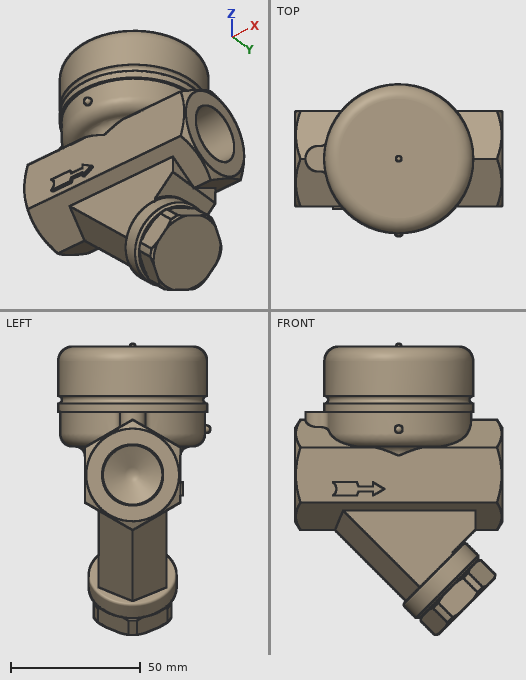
import cadquery as cq
import math

BODY_LENGTH = 80.0
BODY_FLATS = 36.8
BODY_CORNER_R = BODY_FLATS / math.sqrt(3)
END_FACE_R = 17.9
END_CHAMFER = 2.1

PORT_MOUTH_R = 11.8
PORT_DRILL_R = 11.5
PORT_TAPER_DEPTH = 12.9
PORT_DRILL_DEPTH = 20.2
DRILL_HALF_ANGLE = math.radians(60)
PORT_TIP_LENGTH = PORT_DRILL_R / math.tan(DRILL_HALF_ANGLE)

COVER_R = 57.5 / 2
COVER_EDGE_FILLET = 5.7
BOWL_R = 56.0 / 2
BOWL_FILLET = 5.0
BOWL_BOTTOM_Z = 10.9
RING_BOTTOM_Z = 24.3
GROOVE_BOTTOM_Z = 27.5
GROOVE_TOP_Z = 30.5
GROOVE_DEPTH = 1.5
COVER_TOP_Z = 49.5
NECK_R = BODY_FLATS / 2
NECK_FILLET = 3.5

TOP_STUD_R = 1.07
SIDE_STUD_R = 3.0 / 2
SIDE_STUD_Z = 17.6
SIDE_STUD_REACH = 30.0

LUG_R = 4.9
LUG_CENTER_X = -31.0
LUG_FILLET = 3.1
LUG_BOTTOM_Z = 16.9

ARROW_HEIGHT = 1.0
ARROW_Z = -5.4
ARROW_TAIL_X = -25.4
ARROW_NOTCH_X = -24.0
ARROW_NECK_X = -16.2
ARROW_SHAFT_X = -15.5
ARROW_HEAD_X = -10.0
ARROW_TIP_X = -5.5
ARROW_HALF_WIDTH = 2.6
ARROW_SHAFT_HALF_WIDTH = 1.0

BRANCH_DIRECTION = (1, 0, -1)
BRANCH_AXIS_OFFSET = 17.3
BRANCH_FLATS = 26.2
BRANCH_CORNER_R = BRANCH_FLATS / math.sqrt(3)
BRANCH_END = 35.8
BRANCH_RIGHT_X = 29.7
BRANCH_TOP_Z = -11.2
SEAT_R = 34.0 / 2
SEAT_HEIGHT = 0.6

PLUG_START = BRANCH_END + SEAT_HEIGHT
FLANGE_R = SEAT_R
FLANGE_LENGTH = 8.4
FLANGE_FILLET = 1.0
FLANGE_CHAMFER = 1.1
PLUG_HEX_FLATS = 30.1
PLUG_HEX_LENGTH = 9.4
PLUG_HEX_CORNER_R = 16.5
PLUG_HEX_FACE_R = 15.4
PLUG_HEX_CHAMFER = 0.8


def hexagon_diameter(across_flats):
    """Circle through the corners of a hexagon."""
    return across_flats * 2 / math.sqrt(3)


def branch_plane(distance):
    """Plane square to the branch axis; local Y is along Y, local X points away from the ridge."""
    along = math.sqrt(0.5)
    origin = (
        (distance - BRANCH_AXIS_OFFSET) * along,
        0,
        (-distance - BRANCH_AXIS_OFFSET) * along,
    )
    return cq.Workplane(cq.Plane(origin=origin, xDir=(1, 0, 1), normal=BRANCH_DIRECTION))


def make_pipe_body():
    """Hexagonal bar with its corners turned down at both ends."""
    half = BODY_LENGTH / 2
    bar = (
        cq.Workplane("YZ", origin=(-half, 0, 0))
        .polygon(6, hexagon_diameter(BODY_FLATS))
        .extrude(BODY_LENGTH)
        .rotate((0, 0, 0), (1, 0, 0), 90)
    )
    turned = (
        cq.Workplane("XY")
        .moveTo(-half, 0)
        .lineTo(-half, END_FACE_R)
        .lineTo(-half + END_CHAMFER, BODY_CORNER_R)
        .lineTo(half - END_CHAMFER, BODY_CORNER_R)
        .lineTo(half, END_FACE_R)
        .lineTo(half, 0)
        .close()
        .revolve(360, (0, 0, 0), (1, 0, 0))
    )
    return bar.intersect(turned)


def make_port(side):
    """Tapered and drilled hole in the end at X = side * BODY_LENGTH / 2."""
    mouth = BODY_LENGTH / 2
    taper_end = mouth - PORT_TAPER_DEPTH
    drill_end = mouth - PORT_DRILL_DEPTH
    return (
        cq.Workplane("XY")
        .moveTo(side * mouth, 0)
        .lineTo(side * mouth, PORT_MOUTH_R)
        .lineTo(side * taper_end, PORT_DRILL_R)
        .lineTo(side * drill_end, PORT_DRILL_R)
        .lineTo(side * (drill_end - PORT_TIP_LENGTH), 0)
        .close()
        .revolve(360, (0, 0, 0), (1, 0, 0))
    )


def make_trap():
    """Bowl, ring, groove and cover in one turned profile, flared into a neck below."""
    arc_middle = math.sqrt(0.5)
    neck_bottom = BOWL_BOTTOM_Z - NECK_FILLET
    neck_arc_r = NECK_R + NECK_FILLET
    bowl_arc_r = BOWL_R - BOWL_FILLET
    bowl_arc_z = BOWL_BOTTOM_Z + BOWL_FILLET
    cover_arc_r = COVER_R - COVER_EDGE_FILLET
    cover_arc_z = COVER_TOP_Z - COVER_EDGE_FILLET
    groove_z = (GROOVE_BOTTOM_Z + GROOVE_TOP_Z) / 2
    return (
        cq.Workplane("XZ")
        .moveTo(0, neck_bottom)
        .lineTo(NECK_R, neck_bottom)
        .threePointArc(
            (neck_arc_r - NECK_FILLET * arc_middle, neck_bottom + NECK_FILLET * arc_middle),
            (neck_arc_r, BOWL_BOTTOM_Z),
        )
        .lineTo(bowl_arc_r, BOWL_BOTTOM_Z)
        .threePointArc(
            (bowl_arc_r + BOWL_FILLET * arc_middle, bowl_arc_z - BOWL_FILLET * arc_middle),
            (BOWL_R, bowl_arc_z),
        )
        .lineTo(BOWL_R, RING_BOTTOM_Z)
        .lineTo(COVER_R, RING_BOTTOM_Z)
        .lineTo(COVER_R, GROOVE_BOTTOM_Z)
        .threePointArc((COVER_R - GROOVE_DEPTH, groove_z), (COVER_R, GROOVE_TOP_Z))
        .lineTo(COVER_R, cover_arc_z)
        .threePointArc(
            (cover_arc_r + COVER_EDGE_FILLET * arc_middle, cover_arc_z + COVER_EDGE_FILLET * arc_middle),
            (cover_arc_r, COVER_TOP_Z),
        )
        .lineTo(0, COVER_TOP_Z)
        .close()
        .revolve(360, (0, 0, 0), (0, 1, 0))
    )


def make_top_stud():
    """Half-round bead in the middle of the cover."""
    return cq.Workplane("XY", origin=(0, 0, COVER_TOP_Z)).sphere(TOP_STUD_R)


def make_side_stud():
    """Round pin with a domed end on the -Y side of the bowl."""
    dome_y = SIDE_STUD_R - SIDE_STUD_REACH
    root_y = -(BOWL_R - SIDE_STUD_R)
    pin = (
        cq.Workplane("XZ", origin=(0, root_y, SIDE_STUD_Z))
        .circle(SIDE_STUD_R)
        .extrude(root_y - dome_y)
    )
    dome = cq.Workplane("XY", origin=(0, dome_y, SIDE_STUD_Z)).sphere(SIDE_STUD_R)
    return pin.union(dome)


def make_lug():
    """Round-ended lug blended into the bowl by a concave arc on each side."""
    blend_y = LUG_R + LUG_FILLET
    blend_reach = BOWL_R + LUG_FILLET
    blend_x = -math.sqrt(blend_reach ** 2 - blend_y ** 2)
    bowl_x = blend_x * BOWL_R / blend_reach
    bowl_y = blend_y * BOWL_R / blend_reach
    start_angle = -math.pi / 2
    end_angle = math.atan2(bowl_y - blend_y, bowl_x - blend_x)
    middle_angle = (start_angle + end_angle) / 2
    middle_x = blend_x + LUG_FILLET * math.cos(middle_angle)
    middle_y = blend_y + LUG_FILLET * math.sin(middle_angle)
    root_x = bowl_x / 2
    return (
        cq.Workplane("XY", origin=(0, 0, LUG_BOTTOM_Z))
        .moveTo(root_x, bowl_y)
        .lineTo(bowl_x, bowl_y)
        .threePointArc((middle_x, middle_y), (blend_x, LUG_R))
        .lineTo(LUG_CENTER_X, LUG_R)
        .threePointArc((LUG_CENTER_X - LUG_R, 0), (LUG_CENTER_X, -LUG_R))
        .lineTo(blend_x, -LUG_R)
        .threePointArc((middle_x, -middle_y), (bowl_x, -bowl_y))
        .lineTo(root_x, -bowl_y)
        .close()
        .extrude(RING_BOTTOM_Z - LUG_BOTTOM_Z)
    )


def make_arrow():
    """Raised arrow pointing along +X, with a curved notch in its tail."""
    return (
        cq.Workplane("XZ", origin=(0, -BODY_FLATS / 2, ARROW_Z))
        .moveTo(ARROW_TAIL_X, ARROW_HALF_WIDTH)
        .lineTo(ARROW_NECK_X, ARROW_HALF_WIDTH)
        .lineTo(ARROW_SHAFT_X, ARROW_SHAFT_HALF_WIDTH)
        .lineTo(ARROW_HEAD_X, ARROW_SHAFT_HALF_WIDTH)
        .lineTo(ARROW_HEAD_X, ARROW_HALF_WIDTH)
        .lineTo(ARROW_TIP_X, 0)
        .lineTo(ARROW_HEAD_X, -ARROW_HALF_WIDTH)
        .lineTo(ARROW_HEAD_X, -ARROW_SHAFT_HALF_WIDTH)
        .lineTo(ARROW_SHAFT_X, -ARROW_SHAFT_HALF_WIDTH)
        .lineTo(ARROW_NECK_X, -ARROW_HALF_WIDTH)
        .lineTo(ARROW_TAIL_X, -ARROW_HALF_WIDTH)
        .threePointArc((ARROW_NOTCH_X, 0), (ARROW_TAIL_X, ARROW_HALF_WIDTH))
        .close()
        .extrude(ARROW_HEIGHT)
    )


def branch_prism(start, length):
    """Stretch of the branch section: half a hexagon below, flat sides above."""
    half_width = BRANCH_FLATS / 2
    top = BODY_LENGTH / 2
    return (
        branch_plane(start)
        .moveTo(-BRANCH_CORNER_R, 0)
        .lineTo(-BRANCH_CORNER_R / 2, half_width)
        .lineTo(top, half_width)
        .lineTo(top, -half_width)
        .lineTo(-BRANCH_CORNER_R / 2, -half_width)
        .close()
        .extrude(length)
    )


def make_branch():
    """Slanted branch, cut off inside the body, with a shallow round seat on its end."""
    limit_corner = (BRANCH_RIGHT_X - BODY_LENGTH, 0, BRANCH_TOP_Z - BODY_LENGTH)
    limit = cq.Workplane("XY", origin=limit_corner).box(
        BODY_LENGTH, BODY_FLATS, BODY_LENGTH, centered=(False, True, False)
    )
    branch = branch_prism(-BODY_LENGTH / 2, BRANCH_END + BODY_LENGTH / 2).intersect(limit)
    seat_disc = branch_plane(BRANCH_END).circle(SEAT_R).extrude(SEAT_HEIGHT)
    seat = branch_prism(BRANCH_END, SEAT_HEIGHT).intersect(seat_disc)
    return branch.union(seat)


def make_housing():
    """Pipe body, trap and branch as one solid."""
    housing = make_pipe_body().union(make_branch()).union(make_trap()).union(make_lug())
    housing = housing.union(make_top_stud()).union(make_side_stud()).union(make_arrow())
    for side in (-1, 1):
        housing = housing.cut(make_port(side))
    return housing


def make_plug():
    """Round flange and a hexagon with corners rounded and chamfered at both ends."""
    flange = branch_plane(PLUG_START).circle(FLANGE_R).extrude(FLANGE_LENGTH)
    hex_start = PLUG_START + FLANGE_LENGTH
    near_face = cq.DirectionMinMaxSelector(cq.Vector(BRANCH_DIRECTION), directionMax=False)
    far_face = cq.DirectionMinMaxSelector(cq.Vector(BRANCH_DIRECTION))
    flange = flange.faces(near_face).edges().fillet(FLANGE_FILLET)
    flange = flange.faces(far_face).edges().chamfer(FLANGE_CHAMFER)
    hexagon = (
        branch_plane(hex_start)
        .polygon(6, hexagon_diameter(PLUG_HEX_FLATS))
        .extrude(PLUG_HEX_LENGTH)
    )
    chamfer_width = PLUG_HEX_CORNER_R - PLUG_HEX_FACE_R
    corner_round = (
        branch_plane(hex_start)
        .circle(PLUG_HEX_CORNER_R)
        .extrude(PLUG_HEX_LENGTH)
        .edges("%CIRCLE")
        .chamfer(PLUG_HEX_CHAMFER, chamfer_width)
    )
    return flange.union(hexagon.intersect(corner_round))


housing = make_housing()
plug = make_plug()
result = cq.Compound.makeCompound([housing.val(), plug.val()])